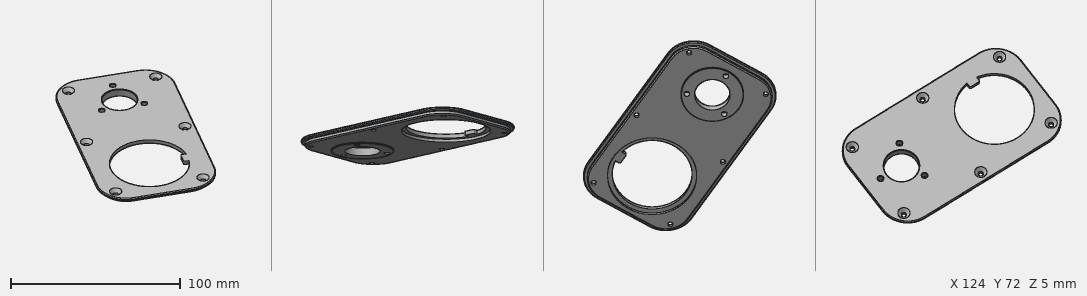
import cadquery as cq

length = 124.0
width = 72.0
corner_radius = 18.0
flange_thickness = 2.0
flange_chamfer = 0.6
body_inset = 2.2
body_bottom = -4.2
body_chamfer = 0.7

boss_x = -36.0
boss_diameter = 37.0
boss_bottom = -5.0
boss_chamfer = 0.4
bore_diameter = 20.8
bore_chamfer = 0.4
ring_radius = 15.0
ring_hole_count = 3
ring_start_angle = 180
ring_hole_diameter = 3.2
ring_hole_chamfer = 0.4
mouth_taper = 45

opening_x = 30.5
opening_diameter = 47.0
opening_web = 2.5
relief_diameter = 52.5
key_width = 7.2
key_tip_y = 20.0
key_fillet = 1.0

screw_diameter = 3.0
screw_head_diameter = 7.2
screw_head_angle = 90
corner_screw_x = 52.7
corner_screw_y = 26.7
middle_screw_y = 30.0


def rounded_slab(inset, top, bottom):
    """Rectangular slab with round corners, drawn in from the outer edge by inset."""
    return (
        cq.Workplane("XY", origin=(0, 0, bottom))
        .rect(length - 2 * inset, width - 2 * inset)
        .extrude(top - bottom)
        .edges("|Z")
        .fillet(corner_radius - inset)
    )


def upright_cylinder(x, diameter, top, bottom):
    """Vertical cylinder centred on the plate's long axis."""
    return cq.Workplane("XY", origin=(x, 0, bottom)).circle(diameter / 2).extrude(top - bottom)


def make_plate():
    flange = rounded_slab(0, 0, -flange_thickness).faces("<Z or >Z").edges().chamfer(flange_chamfer)
    body = rounded_slab(body_inset, -flange_thickness, body_bottom).faces("<Z").edges().chamfer(body_chamfer)
    boss = upright_cylinder(boss_x, boss_diameter, -flange_thickness, boss_bottom)
    boss = boss.faces("<Z").edges().chamfer(boss_chamfer)
    return flange.union(body).union(boss)


def cut_boss_holes(plate):
    """Chamfered central bore and the ring of chamfered holes around it."""
    top_plane = cq.Workplane("XY", origin=(boss_x, 0, 0))
    plate = plate.cut(upright_cylinder(boss_x, bore_diameter, 0, boss_bottom))
    bore_mouth = top_plane.circle(bore_diameter / 2 + bore_chamfer).extrude(-bore_chamfer, taper=mouth_taper)
    plate = plate.cut(bore_mouth)

    ring = top_plane.polarArray(ring_radius, ring_start_angle, 360, ring_hole_count)
    ring_holes = ring.circle(ring_hole_diameter / 2).extrude(boss_bottom)
    mouth_radius = ring_hole_diameter / 2 + ring_hole_chamfer
    ring_mouths = ring.circle(mouth_radius).extrude(-ring_hole_chamfer, taper=mouth_taper)
    return plate.cut(ring_holes).cut(ring_mouths)


def cut_keyed_opening(plate):
    """Large opening with an inward key, and the wider counterbore below the web."""
    opening = upright_cylinder(opening_x, opening_diameter, 0, -opening_web)
    key_length = opening_diameter / 2 - key_tip_y
    key = (
        cq.Workplane("XY", origin=(opening_x, key_tip_y + key_length / 2, -opening_web))
        .rect(key_width, key_length)
        .extrude(opening_web)
        .edges("|Z and <Y")
        .fillet(key_fillet)
    )
    relief = upright_cylinder(opening_x, relief_diameter, -opening_web, body_bottom)
    return plate.cut(opening.cut(key)).cut(relief)


def cut_screw_holes(plate):
    positions = [(0, -middle_screw_y), (0, middle_screw_y)]
    for x in (-corner_screw_x, corner_screw_x):
        for y in (-corner_screw_y, corner_screw_y):
            positions.append((x, y))
    return (
        plate.faces(">Z")
        .workplane(origin=(0, 0, 0))
        .pushPoints(positions)
        .cskHole(screw_diameter, screw_head_diameter, screw_head_angle)
    )


result = cut_screw_holes(cut_keyed_opening(cut_boss_holes(make_plate())))